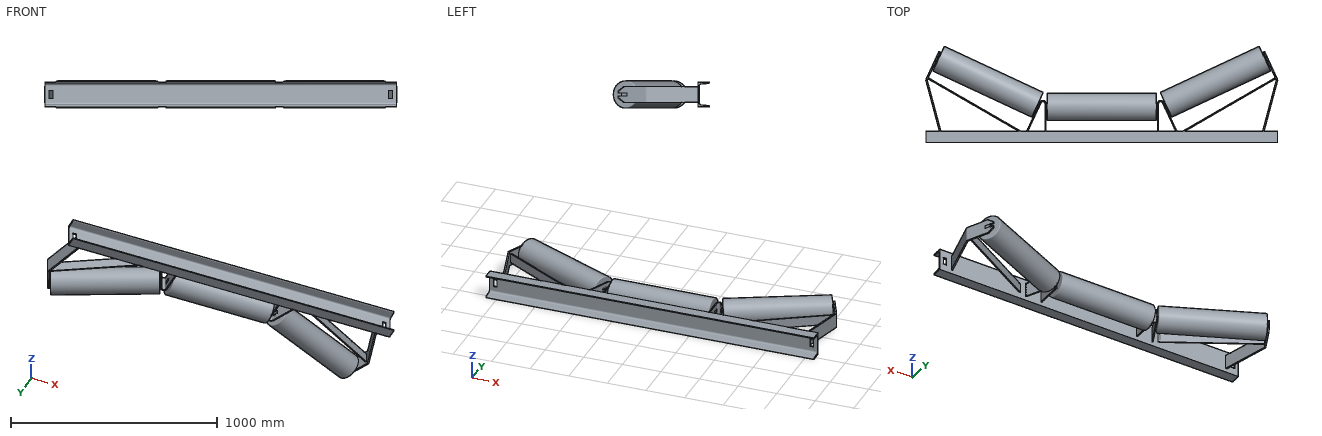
import cadquery as cq
import math


roller_diameter = 133.0
roller_length = 528.0
roller_edge_radius = 4.0
roller_radius = roller_diameter / 2
shaft_diameter = 30.0
shaft_flat_width = 15.0
trough_angle = 25.0
overall_height = 464.28
centre_roller_height = 172.5
side_roller_offset = 549.5
end_gap = 5.5

channel_length = 1700.0
channel_depth = 120.0
channel_flange = 55.0
web_thickness = 7.0
flange_thickness = 9.0
flange_taper = 0.08
root_radius = 9.0
toe_radius = 4.5
mount_slot_length = 18.0
mount_slot_height = 38.0
mount_slot_end_distance = 30.0

plate_width = 76.0
overall_width = 1701.46
outer_thickness = 8.0
outer_bend_radius = 14.0
outer_leg_angle = 15.0
arm_top_above_axis = 33.0
arm_corner_across = 22.0
arm_corner_along = 29.0
inner_thickness = 6.0
inner_bend_radius = 15.0
strut_thickness = 6.0
strut_width = 50.0
strut_angle = 30.0
strut_foot = 391.0

trough = math.radians(trough_angle)
leg_lean = math.radians(outer_leg_angle)
axis_outward = cq.Vector(-math.cos(trough), math.sin(trough))
arm_upward = cq.Vector(math.sin(trough), math.cos(trough))
leg_outward = cq.Vector(-math.cos(leg_lean), -math.sin(leg_lean))
edge_centre_rise = (roller_radius - roller_edge_radius) * math.cos(trough) + (
    roller_length / 2 - roller_edge_radius
) * math.sin(trough)
side_roller_height = overall_height - roller_edge_radius - edge_centre_rise
side_roller_centre = cq.Vector(-side_roller_offset, side_roller_height)

plate_gap_distance = roller_length / 2 + end_gap
outer_face_distance = plate_gap_distance + outer_thickness


def meet(normal_a, point_a, normal_b, point_b):
    """Point where two lines cross, each given by its normal and a point on it."""
    reach_a = normal_a.dot(point_a)
    reach_b = normal_b.dot(point_b)
    cross = normal_a.x * normal_b.y - normal_a.y * normal_b.x
    return cq.Vector(
        (reach_a * normal_b.y - reach_b * normal_a.y) / cross,
        (reach_b * normal_a.x - reach_a * normal_b.x) / cross,
    )


def at_channel(normal, point):
    """Point where a line meets the back face of the channel web."""
    return meet(normal, point, cq.Vector(0, 1), cq.Vector(0, channel_flange))


def flat_plate(corners, width):
    """Plate centred on Z = 0 with the given outline in XY."""
    outline = [(corner.x, corner.y) for corner in corners]
    return cq.Workplane("XY").polyline(outline).close().extrude(width / 2, both=True)


def round_bend(plate, corner, radius):
    """Round the plate's edge along Z at the given corner."""
    return plate.edges(cq.NearestToPointSelector((corner.x, corner.y, 0))).fillet(radius)


def bent_plate(outside, inside, thickness, bend_radius):
    """Plate bent once: each side is given as its start, bend corner and end."""
    plate = flat_plate(outside + inside[::-1], plate_width)
    plate = round_bend(plate, outside[1], bend_radius)
    return round_bend(plate, inside[1], bend_radius - thickness)


def base_channel():
    """Channel open towards -Y, with a mounting slot through the web near each end."""
    web_face = channel_flange - web_thickness
    mid_flange = channel_flange / 2
    half_depth = channel_depth / 2
    toe_z = half_depth - flange_thickness + flange_taper * mid_flange
    root_z = toe_z - flange_taper * web_face
    channel = (
        cq.Workplane("YZ", origin=(-channel_length / 2, 0, 0))
        .polyline([
            (0, half_depth),
            (channel_flange, half_depth),
            (channel_flange, -half_depth),
            (0, -half_depth),
            (0, -toe_z),
            (web_face, -root_z),
            (web_face, root_z),
            (0, toe_z),
        ])
        .close()
        .extrude(channel_length)
    )
    for side in (-1, 1):
        root = cq.NearestToPointSelector((0, web_face, side * root_z))
        toe = cq.NearestToPointSelector((0, 0, side * toe_z))
        channel = channel.edges(root).fillet(root_radius)
        channel = channel.edges(toe).fillet(toe_radius)
    slot_x = channel_length / 2 - mount_slot_end_distance
    slots = (
        cq.Workplane("XZ")
        .pushPoints([(-slot_x, 0), (slot_x, 0)])
        .rect(mount_slot_length, mount_slot_height)
        .extrude(-channel_flange)
    )
    return channel.cut(slots)


def outer_bracket():
    """Leg leaning outwards and an arm that carries the outer end of the side shaft."""
    arm_face = side_roller_centre + axis_outward * outer_face_distance
    half_width = overall_width / 2
    bend_centre = meet(
        cq.Vector(1, 0),
        cq.Vector(outer_bend_radius - half_width, 0),
        axis_outward,
        arm_face - axis_outward * outer_bend_radius,
    )
    leg_face = bend_centre + leg_outward * outer_bend_radius
    arm_back = arm_face - axis_outward * outer_thickness
    leg_back = leg_face - leg_outward * outer_thickness
    outside = [
        arm_face + arm_upward * arm_top_above_axis,
        meet(axis_outward, arm_face, leg_outward, leg_face),
        at_channel(leg_outward, leg_face),
    ]
    inside = [
        arm_back + arm_upward * arm_top_above_axis,
        meet(axis_outward, arm_back, leg_outward, leg_back),
        at_channel(leg_outward, leg_back),
    ]
    bracket = bent_plate(outside, inside, outer_thickness, outer_bend_radius)

    arm_plane = cq.Plane(origin=arm_face.toTuple(), xDir=(0, 0, 1), normal=axis_outward.toTuple())
    for side in (-1, 1):
        edge = side * plate_width / 2
        corner = (
            cq.Workplane(arm_plane)
            .polyline([
                (edge, arm_top_above_axis),
                (edge - side * arm_corner_across, arm_top_above_axis),
                (edge, arm_top_above_axis - arm_corner_along),
            ])
            .close()
            .extrude(-outer_thickness)
        )
        bracket = bracket.cut(corner)
    slot_entry = (
        cq.Workplane(arm_plane)
        .center(0, arm_top_above_axis / 2)
        .rect(shaft_flat_width, arm_top_above_axis)
        .extrude(-outer_thickness)
    )
    return bracket.cut(slot_entry)


def inner_bracket():
    """Inverted V whose arms stand beside the ends of the centre and side rollers."""
    side_face = side_roller_centre - axis_outward * plate_gap_distance
    centre_face = cq.Vector(-plate_gap_distance, centre_roller_height)
    inward = cq.Vector(1, 0)
    side_back = side_face - axis_outward * inner_thickness
    centre_back = centre_face - inward * inner_thickness
    outside = [
        at_channel(axis_outward, side_face),
        meet(axis_outward, side_face, inward, centre_face),
        at_channel(inward, centre_face),
    ]
    inside = [
        at_channel(axis_outward, side_back),
        meet(axis_outward, side_back, inward, centre_back),
        at_channel(inward, centre_back),
    ]
    return bent_plate(outside, inside, inner_thickness, inner_bend_radius)


def strut():
    """Brace from the inside of the outer bend down to the channel."""
    lean = math.radians(strut_angle)
    upper_normal = cq.Vector(math.sin(lean), math.cos(lean))
    foot = cq.Vector(-strut_foot, channel_flange)
    lower_foot = at_channel(upper_normal, foot - upper_normal * strut_thickness)
    end_line = cq.Vector(1, 0), cq.Vector(outer_thickness - overall_width / 2, 0)
    outline = [
        foot,
        meet(upper_normal, foot, *end_line),
        meet(upper_normal, lower_foot, *end_line),
        lower_foot,
    ]
    return flat_plate(outline, strut_width)


def shaft(left_reach, right_reach):
    """Shaft along X through the origin, flattened at both ends where it seats in the plates."""
    length = left_reach + right_reach
    middle = (right_reach - left_reach) / 2
    bar = cq.Workplane("YZ", origin=(-left_reach, 0, 0)).circle(shaft_diameter / 2).extrude(length)
    flats = cq.Workplane("XY").box(length, shaft_diameter, shaft_flat_width).translate((middle, 0, 0))
    core = cq.Workplane("XY").box(2 * plate_gap_distance, shaft_diameter, shaft_diameter)
    return bar.intersect(flats.union(core))


def roller():
    """Roller along X about the origin, with rounded rims and bored for its shaft."""
    start = cq.Workplane("YZ", origin=(-roller_length / 2, 0, 0))
    drum = start.circle(roller_radius).extrude(roller_length).edges("%CIRCLE").fillet(roller_edge_radius)
    return drum.cut(start.circle(shaft_diameter / 2).extrude(roller_length))


def at_centre(body):
    return body.translate((0, centre_roller_height, 0))


def at_left(body):
    tilted = body.rotate((0, 0, 0), (0, 0, 1), -trough_angle)
    return tilted.translate(side_roller_centre.toTuple())


def mirrored(body):
    return body.mirror("YZ")


inner_reach = plate_gap_distance + inner_thickness
centre_shaft = at_centre(shaft(inner_reach, inner_reach))
left_shaft = at_left(shaft(outer_face_distance, inner_reach))
shafts = [left_shaft, centre_shaft, mirrored(left_shaft)]
left_roller = at_left(roller())
rollers = [left_roller, at_centre(roller()), mirrored(left_roller)]

left_plates = outer_bracket().union(strut()).union(inner_bracket())
frame = base_channel().union(left_plates).union(mirrored(left_plates))
for seated_shaft in shafts:
    frame = frame.cut(seated_shaft)

result = cq.Compound.makeCompound([body.val() for body in [frame, *rollers, *shafts]])